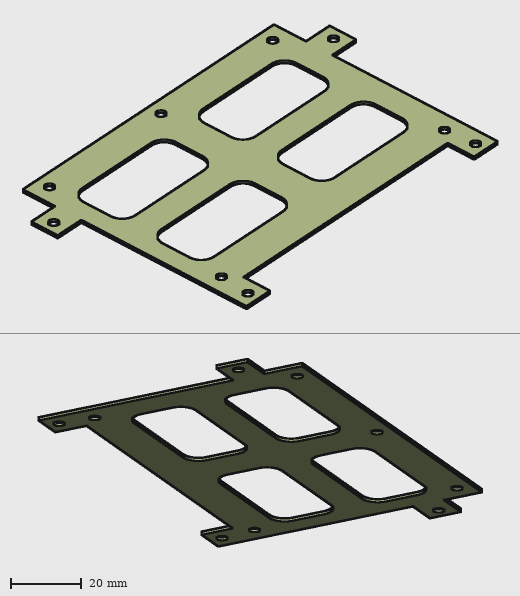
import cadquery as cq

overall_length = 127
overall_width = 85.0
thickness = 1.0
tab_size = 10.0
plate_length = overall_length - 2 * tab_size
plate_width = overall_width - tab_size
half_length = plate_length / 2

end_tab_offset = 12.2
end_tab_x = end_tab_offset + tab_size / 2
end_tab_y = half_length + tab_size / 2
side_tab_x = plate_width + tab_size / 2
side_tab_y = half_length - tab_size / 2

window_width = 20.0
window_length = 39.0
window_gap_x = 10.0
window_gap_y = 12.3
window_radius = 5.0
window_pitch_x = window_width + window_gap_x
window_pitch_y = window_length + window_gap_y
windows_center_x = end_tab_offset + window_width + window_gap_x / 2
windows_center_y = -1.4

hole_diameter = 3.2
hole_side_inset = 4.8
hole_end_inset = 6.0
tab_hole_outer_inset = 4.0
left_hole_x = hole_side_inset
right_hole_x = plate_width - hole_side_inset
corner_hole_y = half_length - hole_end_inset
end_tab_hole_y = overall_length / 2 - tab_hole_outer_inset
side_tab_hole_x = overall_width - tab_hole_outer_inset
side_tab_hole_y = side_tab_y


def block(width, length, x, y):
    """Flat rectangle of plate thickness, centred at (x, y)."""
    return cq.Workplane("XY").center(x, y).rect(width, length).extrude(thickness)


def make_outline():
    body = block(plate_width, plate_length, plate_width / 2, 0)
    for side in (-1, 1):
        body = body.union(block(tab_size, tab_size, end_tab_x, side * end_tab_y))
        body = body.union(block(tab_size, tab_size, side_tab_x, side * side_tab_y))
    return body.clean()


def make_windows():
    return (
        cq.Workplane("XY")
        .center(windows_center_x, windows_center_y)
        .rarray(window_pitch_x, window_pitch_y, 2, 2)
        .rect(window_width, window_length)
        .extrude(thickness)
        .edges("|Z")
        .fillet(window_radius)
    )


def make_holes():
    points = [(left_hole_x, 0)]
    for side in (-1, 1):
        points += [
            (left_hole_x, side * corner_hole_y),
            (right_hole_x, side * corner_hole_y),
            (end_tab_x, side * end_tab_hole_y),
            (side_tab_hole_x, side * side_tab_hole_y),
        ]
    return cq.Workplane("XY").pushPoints(points).circle(hole_diameter / 2).extrude(thickness)


result = make_outline().cut(make_windows()).cut(make_holes())